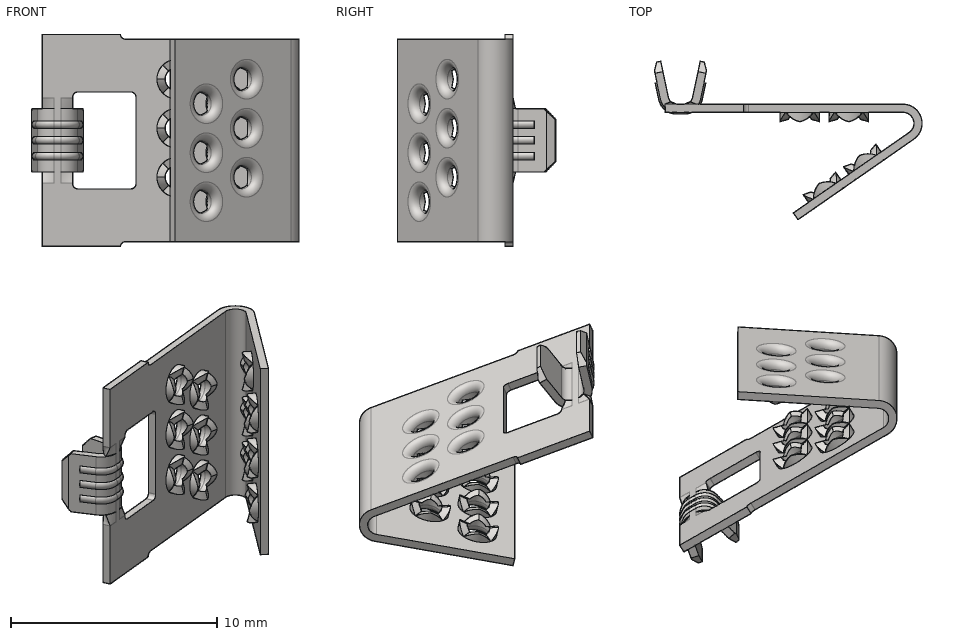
import cadquery as cq
import math

thickness = 0.4
part_length = 13.0
plate_left = 0.52
fold_outer_radius = 0.94
leaf_angle = 34.8
leaf_length = 6.85
sheet_height = 9.84

band_height = 10.3
band_right = 4.33
step_fillet = 0.23

window_left = 2.02
window_right = 5.07
window_height = 4.69
window_fillet = 0.23

clip_height = 3.08
clip_flat_width = 0.35
clip_outer_radius = 0.82
leg_tilt = 12.0
leg_length = 1.8
tip_bevel_length = 0.39
tip_thickness = 0.21
tip_chamfer = 0.52
twist_height = 4.13

rib_count = 3
rib_pitch = 0.77
rib_width = 0.36
rib_rise = 0.09
rib_leg_length = 0.8

hole_radius = 0.56
rim_radius = hole_radius + thickness
tooth_height = 0.45
tooth_shoulder = (0.34, 0.34)
tooth_ridge_slope = 0.27
hole_pitch = 2.38
holes_per_column = 3
plate_column_x = 7.06
leaf_column_distance = 2.61

clip_x = (plate_left + window_left) / 2
clip_inner_radius = clip_outer_radius - thickness
flat_half = clip_flat_width / 2
fold_inner_radius = fold_outer_radius - thickness

tilt_angle = math.radians(leg_tilt)
leg_spread = (leg_length - tip_bevel_length) * math.sin(tilt_angle)
clip_left = clip_x - flat_half - clip_outer_radius * math.cos(tilt_angle) - leg_spread
part_right = clip_left + part_length
fold_x = part_right - fold_outer_radius
fold_y = thickness - fold_outer_radius


def leaf_point(along, from_fold_axis):
    """Point beside the leaf, by distance along it and distance from the fold axis."""
    angle = math.radians(leaf_angle)
    x = fold_x - along * math.cos(angle) + from_fold_axis * math.sin(angle)
    y = fold_y - along * math.sin(angle) - from_fold_axis * math.cos(angle)
    return x, y


def folded_sheet():
    """Base plate, fold and leaf as one constant-thickness strip."""
    mid = math.radians(leaf_angle / 2)
    mid_x, mid_y = math.cos(mid), math.sin(mid)
    outer_mid = (fold_x + fold_outer_radius * mid_x, fold_y + fold_outer_radius * mid_y)
    inner_mid = (fold_x + fold_inner_radius * mid_x, fold_y + fold_inner_radius * mid_y)
    return (
        cq.Workplane("XY")
        .moveTo(plate_left, thickness)
        .lineTo(fold_x, thickness)
        .threePointArc(outer_mid, leaf_point(0, fold_outer_radius))
        .lineTo(*leaf_point(leaf_length, fold_outer_radius))
        .lineTo(*leaf_point(leaf_length, fold_inner_radius))
        .lineTo(*leaf_point(0, fold_inner_radius))
        .threePointArc(inner_mid, (fold_x, 0))
        .lineTo(plate_left, 0)
        .close()
        .extrude(sheet_height / 2, both=True)
    )


def plate_block(left, right, height):
    """Block through the base plate, centred on its mid height."""
    block = cq.Workplane("XY").box(right - left, thickness, height)
    return block.translate(((left + right) / 2, thickness / 2, 0))


def tall_band():
    """Taller end band, blended into the plate edges by concave fillets."""
    band = plate_block(plate_left, band_right, band_height)
    edge = sheet_height / 2
    rise = (band_height - sheet_height) / 2
    for side in (1, -1):
        corner = plate_block(band_right, band_right + step_fillet, rise)
        corner = corner.translate((0, 0, side * (edge + rise / 2)))
        scoop = (
            cq.Workplane("XZ")
            .center(band_right + step_fillet, side * (edge + step_fillet))
            .circle(step_fillet)
            .extrude(-thickness)
        )
        band = band.union(corner.cut(scoop))
    return band


def window():
    return plate_block(window_left, window_right, window_height).edges("|Y").fillet(window_fillet)


def bend_point(radius, angle):
    """Point on the right-hand clip bend, at an angle from the start of the bend."""
    x = flat_half + radius * math.sin(math.radians(angle))
    return x, clip_outer_radius - radius * math.cos(math.radians(angle))


def clip_bend():
    """Right half of the clip's flat bottom and its bend."""
    bend = 90 - leg_tilt
    return (
        cq.Workplane("XY")
        .moveTo(0, 0)
        .lineTo(flat_half, 0)
        .threePointArc(bend_point(clip_outer_radius, bend / 2), bend_point(clip_outer_radius, bend))
        .lineTo(*bend_point(clip_inner_radius, bend))
        .threePointArc(bend_point(clip_inner_radius, bend / 2), (flat_half, thickness))
        .lineTo(0, thickness)
        .close()
        .extrude(clip_height / 2, both=True)
    )


def clip_leg():
    """Right leg: chamfered tip corners and a bevel that thins the tip."""
    section = (
        cq.Workplane("XY")
        .polyline([
            (0, 0),
            (0, leg_length - tip_bevel_length),
            (tip_thickness - thickness, leg_length),
            (-thickness, leg_length),
            (-thickness, 0),
        ])
        .close()
        .extrude(clip_height / 2, both=True)
    )
    half = clip_height / 2
    outline = (
        cq.Workplane("YZ")
        .polyline([
            (0, -half),
            (leg_length - tip_chamfer, -half),
            (leg_length, tip_chamfer - half),
            (leg_length, half - tip_chamfer),
            (leg_length - tip_chamfer, half),
            (0, half),
        ])
        .close()
        .extrude(-thickness)
    )
    leg = section.intersect(outline).rotate((0, 0, 0), (0, 0, 1), -leg_tilt)
    return leg.translate((*bend_point(clip_outer_radius, 90 - leg_tilt), 0))


def twisted_corner():
    """Upper right blend from the flat plate to the bent clip."""
    tab_right = window_left - clip_x
    angle = math.degrees(math.asin((tab_right - flat_half) / clip_outer_radius))
    bent = [
        (flat_half, 0),
        bend_point(clip_outer_radius, angle),
        bend_point(clip_inner_radius, angle),
        (flat_half, thickness),
    ]
    flat = [(flat_half, 0), (tab_right, 0), (tab_right, thickness), (flat_half, thickness)]
    return (
        cq.Workplane("XY", origin=(0, 0, clip_height / 2))
        .polyline(bent)
        .close()
        .workplane(offset=(twist_height - clip_height) / 2)
        .polyline(flat)
        .close()
        .loft(ruled=True)
    )


def clip_rib():
    """Right half of one rib: a round bar mostly sunk into the clip's outer face."""
    bar_radius = ((rib_width / 2) ** 2 + rib_rise ** 2) / (2 * rib_rise)
    path_radius = clip_outer_radius + rib_rise - bar_radius
    bend = 90 - leg_tilt
    leg_x, leg_y = bend_point(path_radius, bend)
    path_start = (0, clip_outer_radius - path_radius)
    path_end = (
        leg_x + rib_leg_length * math.sin(tilt_angle),
        leg_y + rib_leg_length * math.cos(tilt_angle),
    )
    path = (
        cq.Workplane("XY")
        .moveTo(*path_start)
        .lineTo(flat_half, path_start[1])
        .threePointArc(bend_point(path_radius, bend / 2), (leg_x, leg_y))
        .lineTo(*path_end)
    )
    return cq.Workplane("YZ", origin=(*path_start, 0)).circle(bar_radius).sweep(path)


def clip():
    half = clip_bend().union(clip_leg())
    corner = twisted_corner()
    half = half.union(corner).union(corner.mirror("XY"))
    rib = clip_rib()
    for index in range(rib_count):
        half = half.union(rib.translate((0, 0, (index - (rib_count - 1) / 2) * rib_pitch)))
    return half.union(half.mirror("YZ")).translate((clip_x, 0, 0))


def clip_slots():
    """Plate material on both sides of the clip's flat, freed for bending."""
    left_slot = plate_block(plate_left, clip_x - flat_half, twist_height)
    right_slot = plate_block(clip_x + flat_half, window_left, twist_height)
    return left_slot.union(right_slot)


def tooth_crown():
    """Four roof-shaped teeth around a hole; the inner sheet face is at height zero."""
    diagonal = rim_radius / math.sqrt(2)
    ridge_at_axis = tooth_height - tooth_ridge_slope * rim_radius
    drop = ridge_at_axis - tooth_height
    shoulder_offset, shoulder_height = tooth_shoulder
    foot_height = tooth_ridge_slope * (rim_radius - diagonal)
    shear = math.degrees(math.atan(tooth_ridge_slope))
    roof = (
        cq.Workplane("YZ")
        .moveTo(-diagonal, -2 * thickness)
        .lineTo(diagonal, -2 * thickness)
        .lineTo(diagonal, foot_height + drop)
        .threePointArc((shoulder_offset, shoulder_height + drop), (0, ridge_at_axis))
        .threePointArc((-shoulder_offset, shoulder_height + drop), (-diagonal, foot_height + drop))
        .close()
        .extrude(2 * rim_radius)
        .rotate((0, 0, ridge_at_axis), (0, 1, ridge_at_axis), -shear)
    )
    roofs = roof
    for quarter in (1, 2, 3):
        roofs = roofs.union(roof.rotate((0, 0, 0), (0, 0, 1), quarter * 90))
    collar = (
        cq.Workplane("XY", origin=(0, 0, -thickness / 2))
        .circle(rim_radius)
        .extrude(thickness / 2 + 2 * tooth_height)
    )
    return collar.intersect(roofs)


def flared_hole():
    """Hole cutter whose mouth is rounded over the full sheet thickness."""
    arc_reach = thickness * math.sqrt(0.5)
    return (
        cq.Workplane("XZ")
        .moveTo(0, -thickness)
        .lineTo(rim_radius, -thickness)
        .threePointArc((rim_radius - arc_reach, -arc_reach), (hole_radius, 0))
        .lineTo(hole_radius, 2 * tooth_height)
        .lineTo(0, 2 * tooth_height)
        .close()
        .revolve(360, (0, 0, 0), (0, 1, 0))
    )


def hole_planes():
    """Frames of all holes: two staggered columns on the plate and two on the leaf."""
    angle = math.radians(leaf_angle)
    leaf_direction = (math.cos(angle), math.sin(angle), 0)
    leaf_normal = (-math.sin(angle), math.cos(angle), 0)
    stagger = hole_pitch / 4
    planes = []
    for column, shift in ((0, stagger), (1, -stagger)):
        along = leaf_column_distance + column * hole_pitch
        leaf_x, leaf_y = leaf_point(along, fold_inner_radius)
        plate_x = plate_column_x + column * hole_pitch
        for row in range(holes_per_column):
            z = (row - (holes_per_column - 1) / 2) * hole_pitch + shift
            planes.append(cq.Plane((plate_x, 0, z), (1, 0, 0), (0, -1, 0)))
            planes.append(cq.Plane((leaf_x, leaf_y, z), leaf_direction, leaf_normal))
    return planes


result = folded_sheet().union(tall_band()).cut(window()).cut(clip_slots()).union(clip())

crown = tooth_crown().val()
cutter = flared_hole().val()
for plane in hole_planes():
    result = result.union(cq.Workplane(crown.moved(plane.location)))
    result = result.cut(cq.Workplane(cutter.moved(plane.location)))